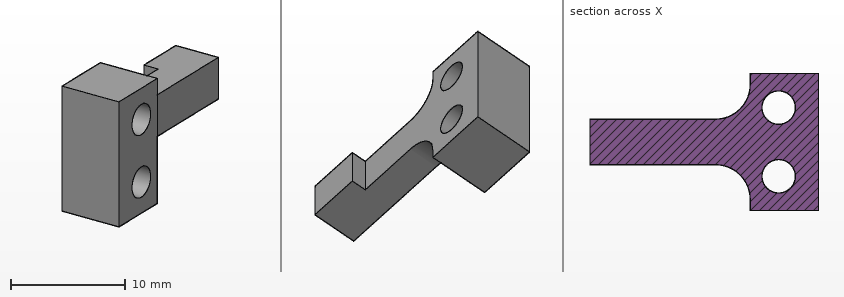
import cadquery as cq

block_width = 6.0
block_depth = 6.0
block_height = 12.0

total_length = 20.0
arm_thickness = block_width / 2
arm_height = 4.0
root_radius = 3.0

pad_length = 5.0
pad_rise = 1.5

hole_diameter = 2.9
hole_spacing = 6.0
hole_from_front = 3.5


def box_from(x, y, size_x, size_y, size_z):
    """Box with its low X and Y corner at (x, y), centred on Z = 0."""
    return (
        cq.Workplane("XY")
        .box(size_x, size_y, size_z, centered=(False, False, True))
        .translate((x, y, 0))
    )


block = box_from(0, 0, block_width, block_depth, block_height)
arm = box_from(0, block_depth, arm_thickness, total_length - block_depth, arm_height)
pad = box_from(-pad_rise, total_length - pad_length, pad_rise, pad_length, arm_height)


def root_web(side):
    """Concave web between arm and block, above (side=1) or below (side=-1)."""
    edge_z = side * arm_height / 2
    web = (
        cq.Workplane("YZ")
        .moveTo(block_depth, edge_z)
        .lineTo(block_depth + root_radius, edge_z)
        .radiusArc((block_depth, edge_z + side * root_radius), side * root_radius)
        .close()
        .extrude(arm_thickness)
    )
    return web


holes = (
    cq.Workplane("YZ")
    .pushPoints([(hole_from_front, side * hole_spacing / 2) for side in (-1, 1)])
    .circle(hole_diameter / 2)
    .extrude(block_width)
)

result = block.union(arm).union(pad)
for side in (-1, 1):
    result = result.union(root_web(side))
result = result.cut(holes)